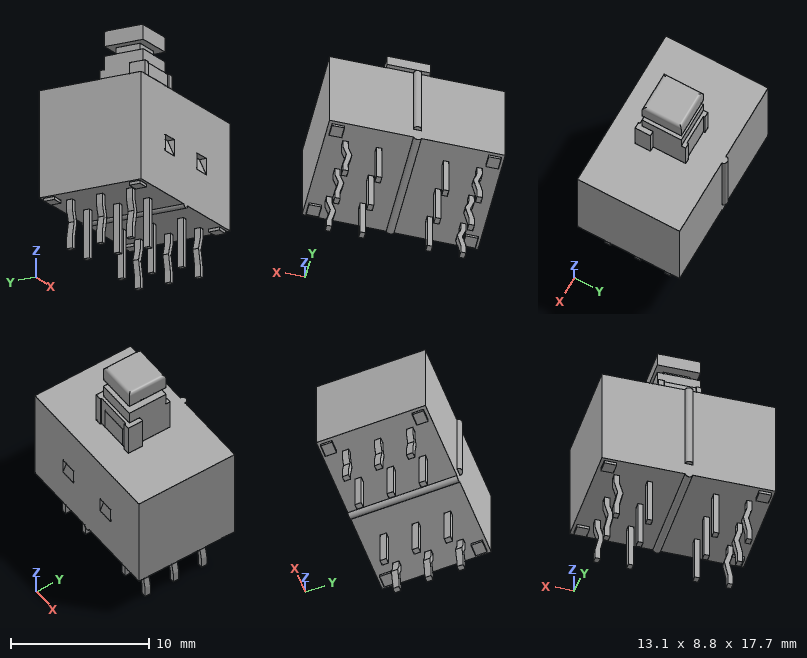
import cadquery as cq

OVERALL_HEIGHT = 17.7

BODY_LENGTH = 13.1
BODY_WIDTH = 8.5
BODY_HEIGHT = 8.25
SPLIT_Z = 4.5
TAB_BOTTOM_Z = 1.05
TAB_HOOK_Z = 2.5
TAB_HEAD_WIDTH = 6.0
TAB_NECK_WIDTH = 3.35
RAMP_DEPTH = 0.57
RAMP_FOOT_Z = 3.24

RIB_RADIUS = 0.3
RIB_BOTTOM_Z = 1.01
RIDGE_RADIUS = 0.3
STANDOFF_HEIGHT = 0.23

FOOT_LENGTH = 0.94
FOOT_WIDTH = 0.88
FOOT_INSET = 0.25

COLLAR_HEIGHT = 2.67
COLLAR_DEPTH = 3.98
COLLAR_FRONT_WIDTH = 4.04
COLLAR_FRONT_DEPTH = 1.27
RECESS_DEPTH = 0.12
FRONT_RECESS_WIDTH = 3.01
BACK_RECESS_WIDTH = 2.4

SLOT_WIDTH = 2.23
SLOT_HEIGHT = 1.72
BORE_HEIGHT = 1.25

PLUNGER_WIDTH = 3.25
SHOULDER_HEIGHT = 1.03
NECK_WIDTH = 2.0
NECK_HEIGHT = 0.73
CAP_FILLET = 0.27

PIN_LENGTH = 3.75
PIN_THICKNESS = 0.4
PIN_WIDTH = 0.5
PIN_PITCH = 2.5
PIN_ROWS = (-PIN_PITCH, 0, PIN_PITCH)
KINK_OFFSET = 0.27
KINK_START = 0.76
KINK_PEAK = 1.66
KINK_END = 2.9

collar_top = BODY_HEIGHT + COLLAR_HEIGHT
shoulder_top = collar_top + SHOULDER_HEIGHT
cap_bottom = shoulder_top + NECK_HEIGHT


def block(x_size, y_size, z_low, z_high, y=0):
    """Box centred on (0, y) that spans z_low to z_high."""
    base = cq.Workplane("XY").workplane(offset=z_low).center(0, y)
    return base.rect(x_size, y_size).extrude(z_high - z_low)


def make_tab():
    """T-shaped tab hanging from the cover, as deep as the ramps beside it."""
    y = (RAMP_DEPTH - BODY_WIDTH) / 2
    neck = block(TAB_NECK_WIDTH, RAMP_DEPTH, TAB_HOOK_Z, SPLIT_Z, y=y)
    head = block(TAB_HEAD_WIDTH, RAMP_DEPTH, TAB_BOTTOM_Z, TAB_HOOK_Z, y=y)
    return neck.union(head)


def make_ramp_cut():
    """Wedge across both windows, its floor rising from the front face to the split."""
    front = -BODY_WIDTH / 2
    return (
        cq.Workplane("YZ", origin=(-TAB_HEAD_WIDTH / 2, 0, 0))
        .polyline([(front, RAMP_FOOT_Z), (front, SPLIT_Z), (front + RAMP_DEPTH, SPLIT_Z)])
        .close()
        .extrude(TAB_HEAD_WIDTH)
    )


def make_rib():
    return (
        cq.Workplane("XY", origin=(0, BODY_WIDTH / 2, RIB_BOTTOM_Z))
        .circle(RIB_RADIUS)
        .extrude(BODY_HEIGHT - RIB_BOTTOM_Z)
    )


def make_ridge():
    return (
        cq.Workplane("XZ", origin=(0, BODY_WIDTH / 2, RIDGE_RADIUS - STANDOFF_HEIGHT))
        .circle(RIDGE_RADIUS)
        .extrude(BODY_WIDTH)
    )


def make_feet():
    x_spacing = BODY_LENGTH - 2 * FOOT_INSET - FOOT_LENGTH
    y_spacing = BODY_WIDTH - 2 * FOOT_INSET - FOOT_WIDTH
    return (
        cq.Workplane("XY")
        .rarray(x_spacing, y_spacing, 2, 2)
        .rect(FOOT_LENGTH, FOOT_WIDTH)
        .extrude(-STANDOFF_HEIGHT)
    )


def make_housing():
    tab = make_tab()
    rib = make_rib()
    lower_half = block(BODY_LENGTH, BODY_WIDTH + 4 * RIB_RADIUS, 0, SPLIT_Z)
    cover = block(BODY_LENGTH, BODY_WIDTH, SPLIT_Z, BODY_HEIGHT).union(tab)
    cover = cover.union(rib.cut(lower_half))
    base = block(BODY_LENGTH, BODY_WIDTH, 0, SPLIT_Z).cut(tab).cut(make_ramp_cut())
    base = base.union(rib.intersect(lower_half)).union(make_ridge()).union(make_feet())
    return cover.union(base, clean=False)


def make_collar():
    front = -COLLAR_DEPTH / 2
    back = COLLAR_DEPTH / 2
    collar = block(PLUNGER_WIDTH, COLLAR_DEPTH, BODY_HEIGHT, collar_top)
    wings = block(
        COLLAR_FRONT_WIDTH, COLLAR_FRONT_DEPTH, BODY_HEIGHT, collar_top,
        y=front + COLLAR_FRONT_DEPTH / 2,
    )
    collar = collar.union(wings)
    for width, face_y in ((FRONT_RECESS_WIDTH, front), (BACK_RECESS_WIDTH, back)):
        collar = collar.cut(block(width, 2 * RECESS_DEPTH, BODY_HEIGHT, collar_top, y=face_y))
    return collar


def make_plunger():
    shoulder = block(PLUNGER_WIDTH, PLUNGER_WIDTH, collar_top, shoulder_top)
    neck = block(NECK_WIDTH, NECK_WIDTH, shoulder_top, cap_bottom)
    cap_top = OVERALL_HEIGHT - PIN_LENGTH
    cap = block(PLUNGER_WIDTH, PLUNGER_WIDTH, cap_bottom, cap_top)
    cap = cap.faces(">Z").edges().fillet(CAP_FILLET)
    return shoulder.union(neck).union(cap)


def make_slot():
    """Slot from the collar's front to the axis plus a lower bore, both down to the split."""
    length = COLLAR_DEPTH / 2 - RECESS_DEPTH
    slot = block(SLOT_WIDTH, length, SPLIT_Z, BODY_HEIGHT + SLOT_HEIGHT, y=-length / 2)
    bore = (
        cq.Workplane("XY", origin=(0, 0, SPLIT_Z))
        .circle(SLOT_WIDTH / 2)
        .extrude(BODY_HEIGHT + BORE_HEIGHT - SPLIT_Z)
    )
    return slot.union(bore)


def make_pin(x, y, kink):
    """Pin centred on (x, y), shifted by kink along X at its bend."""
    path = [(x, 0), (x, -PIN_LENGTH)]
    if kink:
        path[1:1] = [(x, -KINK_START), (x + kink, -KINK_PEAK), (x, -KINK_END)]
    left = [(px - PIN_THICKNESS / 2, pz) for px, pz in path]
    right = [(px + PIN_THICKNESS / 2, pz) for px, pz in reversed(path)]
    return (
        cq.Workplane("XZ", origin=(0, y + PIN_WIDTH / 2, 0))
        .polyline(left + right)
        .close()
        .extrude(PIN_WIDTH)
    )


result = make_housing()
parts = [make_collar(), make_plunger()]
for row_y in PIN_ROWS:
    for side in (-1, 1):
        parts.append(make_pin(side * PIN_PITCH, row_y, 0))
        parts.append(make_pin(side * 2 * PIN_PITCH, row_y, -side * KINK_OFFSET))
for part in parts:
    result = result.union(part, clean=False)
result = result.cut(make_slot(), clean=False)